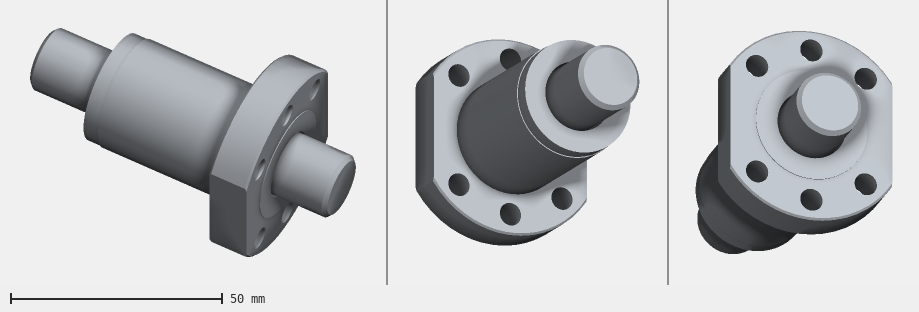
import cadquery as cq

shaft_length = 80.0
shaft_diameter = 16.0
shaft_chamfer = 1.0

bore_diameter = 17.0
sleeve_diameter = 28.0
sleeve_start = 22.1
flange_start = 55.4
flange_thickness = 10.0
flange_end = flange_start + flange_thickness
flange_diameter = 48.0
flange_width = 40.0
flange_chamfer = 0.5

bolt_diameter = 5.5
bolt_circle_diameter = 38.0
bolt_angles = (45, 90, 135, 225, 270, 315)

wiper_diameter = 27.5
wiper_thickness = 4.0
wiper_projection = 0.2
rear_wiper_start = flange_end + wiper_projection - wiper_thickness
wiper_starts = (sleeve_start - wiper_thickness, rear_wiper_start)


def cylinder(start, end, diameter):
    """Solid cylinder about the X axis, from X = start to X = end."""
    return cq.Workplane("YZ", origin=(start, 0, 0)).circle(diameter / 2).extrude(end - start)


def make_shaft():
    return cylinder(0, shaft_length, shaft_diameter).edges().chamfer(shaft_chamfer)


def make_flange():
    """Chamfered disc with two flat sides and a ring of bolt holes."""
    disc = cylinder(flange_start, flange_end, flange_diameter).faces("<X or >X").edges()
    disc = disc.chamfer(flange_chamfer)
    flats = cq.Workplane("XY", origin=(flange_start, 0, 0)).box(
        flange_thickness, flange_width, flange_diameter, centered=(False, True, True)
    )
    flange = disc.intersect(flats)
    for angle in bolt_angles:
        hole = cylinder(flange_start, flange_end, bolt_diameter)
        hole = hole.translate((0, bolt_circle_diameter / 2, 0))
        flange = flange.cut(hole.rotate((0, 0, 0), (1, 0, 0), angle))
    return flange


def make_nut():
    nut = make_flange().union(cylinder(sleeve_start, flange_start, sleeve_diameter))
    nut = nut.cut(cylinder(sleeve_start, flange_end, bore_diameter))
    return nut.cut(cylinder(rear_wiper_start, flange_end, wiper_diameter))


def make_wiper(start):
    end = start + wiper_thickness
    return cylinder(start, end, wiper_diameter).cut(cylinder(start, end, bore_diameter))


shaft = make_shaft()
nut = make_nut()
wipers = [make_wiper(start) for start in wiper_starts]

result = cq.Compound.makeCompound(
    [shaft.val(), nut.val(), *[wiper.val() for wiper in wipers]]
)